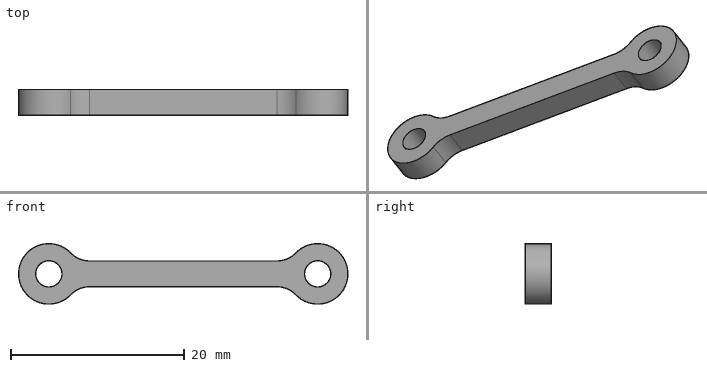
import cadquery as cq
import math

overall_length = 38.0
eye_diameter = 7.0
hole_diameter = 3.0
bar_height = 3.0
thickness = 3.0
blend_radius = 3.0

eye_radius = eye_diameter / 2
eye_spacing = overall_length - eye_diameter
eye_x = eye_spacing / 2
bar_half_height = bar_height / 2

blend_center_z = bar_half_height + blend_radius
center_distance = eye_radius + blend_radius
blend_offset = math.sqrt(center_distance**2 - blend_center_z**2)
blend_angle = math.atan2(blend_center_z, blend_offset)

bar_end = (eye_x - blend_offset, bar_half_height)
eye_tangent = (
    eye_x - eye_radius * math.cos(blend_angle),
    eye_radius * math.sin(blend_angle),
)
mid_angle = (blend_angle + math.pi / 2) / 2
blend_middle = (
    eye_x - blend_offset + blend_radius * math.cos(mid_angle),
    blend_center_z - blend_radius * math.sin(mid_angle),
)
eye_tip = (eye_x + eye_radius, 0)


def mirrored(point, x_sign, z_sign):
    """Place an upper right outline point in another quarter of the link."""
    return (x_sign * point[0], z_sign * point[1])


def add_end(outline, x_sign, z_sign):
    """Run from the bar edge around one eye and back to the opposite bar edge."""
    return (
        outline.lineTo(*mirrored(bar_end, x_sign, z_sign))
        .threePointArc(
            mirrored(blend_middle, x_sign, z_sign),
            mirrored(eye_tangent, x_sign, z_sign),
        )
        .threePointArc(
            mirrored(eye_tip, x_sign, z_sign),
            mirrored(eye_tangent, x_sign, -z_sign),
        )
        .threePointArc(
            mirrored(blend_middle, x_sign, -z_sign),
            mirrored(bar_end, x_sign, -z_sign),
        )
    )


def make_link_body():
    """Flat bar with a blended round eye at each end, centred on the origin."""
    outline = cq.Workplane("XZ").moveTo(*mirrored(bar_end, -1, 1))
    outline = add_end(outline, 1, 1)
    outline = add_end(outline, -1, -1)
    return outline.close().extrude(thickness / 2, both=True)


def make_pin_holes():
    """Cylinders through the full thickness, one at the centre of each eye."""
    return (
        cq.Workplane("XZ")
        .pushPoints([(-eye_x, 0), (eye_x, 0)])
        .circle(hole_diameter / 2)
        .extrude(thickness / 2, both=True)
    )


result = make_link_body().cut(make_pin_holes())